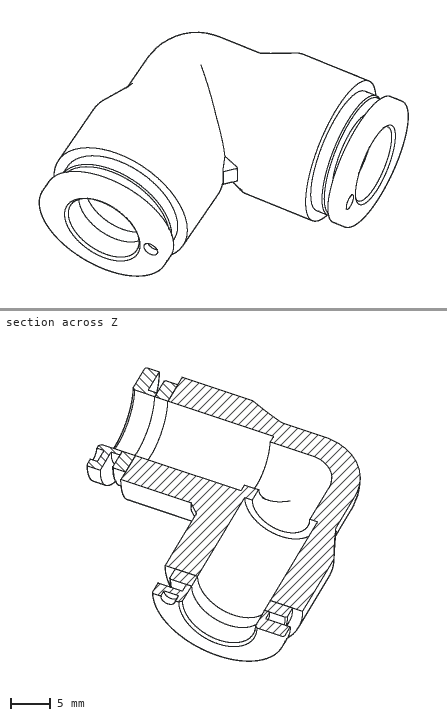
import cadquery as cq

overall = 35.45
socket_dia = 19.3
elbow_dia = 15.4
neck_end = 6.03
cone_end = 11.0
socket_end = 20.8
cone_round = 1.0
web_width = 2.5

passage_dia = 8.0
tube_dia = 10.15
mouth_dia = 10.2
mouth_chamfer = 0.35

guide_dia = 16.5
guide_length = 1.85
guide_chamfer = 0.2

flange_long = 18.55
flange_short = 15.95
flange_thickness = 2.0
flange_round = 0.35
stem_dia = 11.7
mark_hole_dia = 2.0
mark_hole_depth = 1.0
mark_hole_offset = 7.0

port_end = overall - socket_dia / 2
guide_end = socket_end + guide_length
flange_start = port_end - flange_thickness


def rod(diameter, start, end):
    """Cylinder along -Y between two distances from the elbow centre."""
    return cq.Workplane("XZ").workplane(offset=start).circle(diameter / 2).extrude(end - start)


def across_bend(shape):
    """Copy of a -Y port shape on the +X port, mirrored about the plane x = -y."""
    return shape.mirror("YZ").rotate((0, 0, 0), (0, 0, 1), 90)


def port_outside():
    """Solid outside of one housing leg: half neck, rounded cone and wide cylinder."""
    cone = (
        cq.Workplane("XZ").workplane(offset=neck_end).circle(elbow_dia / 2)
        .workplane(offset=cone_end - neck_end).circle(socket_dia / 2).loft(ruled=True)
    )
    leg = rod(elbow_dia, 0, neck_end).union(cone).union(rod(socket_dia, cone_end, socket_end))
    margin = cone_round / 2
    cone_edges = cq.selectors.BoxSelector(
        (-socket_dia, -cone_end - margin, -socket_dia),
        (socket_dia, -neck_end + margin, socket_dia),
        boundingbox=True,
    )
    return leg.edges("%CIRCLE").edges(cone_edges).fillet(cone_round)


def make_housing():
    """Elbow with a ball-shaped outer corner, a corner web and two stepped ports."""
    leg = port_outside()
    web = (
        cq.Workplane("XY").workplane(offset=-web_width / 2)
        .polyline([(0, 0), (cone_end, -socket_dia / 2), (socket_dia / 2, -cone_end)]).close()
        .extrude(web_width)
    )
    body = leg.union(across_bend(leg)).union(cq.Workplane("XY").sphere(elbow_dia / 2)).union(web)

    port = rod(passage_dia, 0, neck_end).union(rod(tube_dia, neck_end, socket_end))
    return body.cut(port).cut(across_bend(port)).cut(cq.Workplane("XY").sphere(passage_dia / 2))


def make_guide():
    """Guide sleeve on the -Y port, bored for the tube."""
    sleeve = rod(guide_dia, socket_end, guide_end).faces("<Y").edges().chamfer(guide_chamfer)
    return sleeve.cut(rod(tube_dia, socket_end, guide_end))


def make_release_ring():
    """Release ring on the -Y port: oval flange, round stem, tapered bore and marking hole."""
    flange = (
        cq.Workplane("XZ").workplane(offset=flange_start)
        .ellipse(flange_long / 2, flange_short / 2).extrude(flange_thickness)
        .faces("<Y").edges().fillet(flange_round)
    )
    ring = flange.union(rod(stem_dia, guide_end, flange_start))

    bore_profile = [
        (0, -guide_end),
        (tube_dia / 2, -guide_end),
        (mouth_dia / 2, mouth_chamfer - port_end),
        (mouth_dia / 2 + mouth_chamfer, -port_end),
        (0, -port_end),
    ]
    bore = cq.Workplane("XY").polyline(bore_profile).close().revolve(360, (0, 0, 0), (0, 1, 0))
    mark_hole = rod(mark_hole_dia, port_end - mark_hole_depth, port_end).translate((mark_hole_offset, 0, 0))
    return ring.cut(bore).cut(mark_hole)


housing = make_housing()
bodies = [housing.val()]
for make_body in (make_guide, make_release_ring):
    body = make_body()
    bodies += [body.val(), across_bend(body).val()]

result = cq.Compound.makeCompound(bodies)